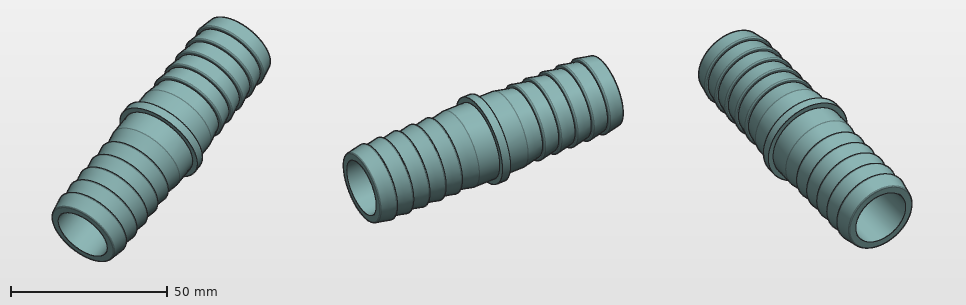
import cadquery as cq

total_length = 90.0
flange_diameter = 30.0
flange_thickness = 3.0
body_diameter = 26.4
root_diameter = 24.0
bore_diameter = 19.0
barbed_length = 36.0
cones_per_end = 6
crest_fillet = 0.45
end_fillet = 0.4
tolerance = 0.01

half_length = total_length / 2
cone_length = barbed_length / cones_per_end
body_radius = body_diameter / 2
root_radius = root_diameter / 2


def is_crest(edge):
    """True for a circular edge lying on the outer crest of a barb."""
    at_crest_radius = abs(edge.radius() - body_radius) < tolerance
    outside_plain_body = edge.Center().y > half_length - barbed_length + tolerance
    return at_crest_radius and outside_plain_body


def barbed_spigot():
    """Solid spigot from the middle to +Y, its cones widening towards the flange."""
    profile = cq.Workplane("XY").moveTo(0, half_length).lineTo(root_radius, half_length)
    for cone in range(1, cones_per_end + 1):
        cone_base = half_length - cone * cone_length
        profile = profile.lineTo(body_radius, cone_base)
        if cone < cones_per_end:
            profile = profile.lineTo(root_radius, cone_base)
    profile = profile.lineTo(body_radius, 0).lineTo(0, 0).close()
    spigot = profile.revolve(360, (0, 0, 0), (0, 1, 0))

    spigot = spigot.edges("%CIRCLE").filter(is_crest).fillet(crest_fillet)

    return spigot.faces(">Y").edges("%CIRCLE").fillet(end_fillet)


def cylinder_along_y(diameter, length):
    """Cylinder on the Y axis, centred on the origin."""
    return cq.Workplane("XZ").circle(diameter / 2).extrude(length / 2, both=True)


spigot = barbed_spigot()
flange = cylinder_along_y(flange_diameter, flange_thickness)
bore = cylinder_along_y(bore_diameter, total_length)

result = spigot.union(spigot.mirror("XZ")).union(flange).cut(bore)